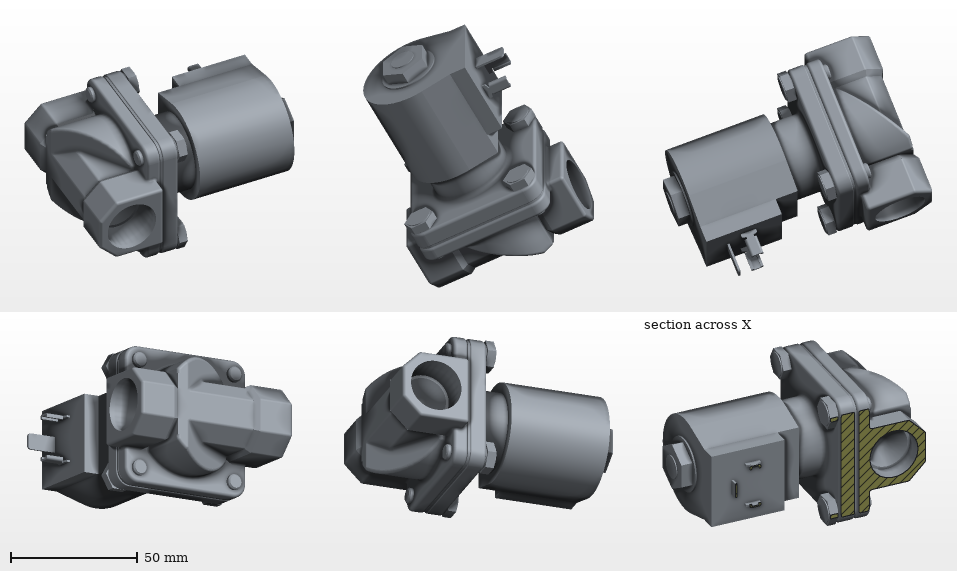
import cadquery as cq
import math


body_length = 70.1
port_half_height = 13.9
port_chamfer = 7.4
body_round = 1.3
block_inner_x = 19.9
channel_end_x = 17.5
channel_inset = 1.5
channel_half_height = port_half_height - channel_inset
bore_mouth_radius = 10.6
bore_floor_radius = 10.2
bore_depth = 13.75
drill_radius = 9.0
drill_point_angle = 118

flange_size = 56
flange_corner_radius = 6.0
flange_round = 1.3
body_flange_y = 10.0
gasket_y = 16.1
cover_y = 17.1
cover_top_y = 23.9
gasket_inset = 0.4
cover_lower_round = 0.4
bolt_spacing = 44.0
bolt_radius = 3.1
bolt_tip_y = 8.2
bolt_tip_chamfer = 0.6
bolt_head_width = 11.1
bolt_head_height = 3.5
bolt_corner_angle = 0
bolt_face_radius = 5.0
bolt_face_height = 0.4

bowl_radius = 22.7
core_round = 1.3
bowl_floor_length = 4.7
bowl_slope = 34
foot_round = 1

neck_radius = 16.1
neck_foot_round = 1.9
coil_radius = 20.4
coil_y = 37.0
coil_top_y = 78.4
coil_flat_x = -18.3
plug_face_x = -24.9
plug_half_height = 16.0
plug_y = 46.4

washer_radius = 11.5
washer_height = 0.7
nut_width = 17.4
nut_height = 4.8
nut_corner_angle = 30
stub_radius = 4.9
stub_top_y = 84.3

ground_pin_y = 69.0
ground_pin_tip_x = -37.3
ground_pin_thickness = 0.9
pin_width = 6.5
ground_pin_tip_round = 1.3
terminal_y = 60.6
terminal_z = 9.1
terminal_thickness = 0.8
terminal_tip_x = -35.1
terminal_shoulder_x = -27.6
terminal_neck_x = -26.9
terminal_base_x = -26.3
terminal_half_width = 2.6
terminal_neck_half_width = 1.5
terminal_lip_height = 1
terminal_round = 1

tolerance = 0.01


def section_at(y):
    """Workplane across the coil axis, with local x along X and local y along Z."""
    return cq.Workplane("XZ", origin=(0, y, 0))


def disc(radius, y_low, y_high):
    return section_at(y_low).circle(radius).extrude(y_low - y_high)


def hexagon(width, y_low, y_high, first_corner_angle):
    corner_radius = width / math.sqrt(3)
    angles = [math.radians(first_corner_angle + 60 * i) for i in range(6)]
    corners = [(corner_radius * math.cos(a), corner_radius * math.sin(a)) for a in angles]
    return section_at(y_low).polyline(corners).close().extrude(y_low - y_high)


def rounded(solid, is_rounded, radius):
    """Solid with a fillet on every edge that passes the test is_rounded."""
    chosen_edges = [edge for edge in solid.edges().vals() if is_rounded(edge)]
    return solid.newObject(chosen_edges).fillet(radius)


def body_profile(half_height):
    """Square across the ports with its two -Y corners cut off, in Y and Z."""
    inner = half_height - port_chamfer + (port_half_height - half_height) * (2 - math.sqrt(2))
    return [
        (port_half_height, half_height),
        (-inner, half_height),
        (-half_height, inner),
        (-half_height, -inner),
        (-inner, -half_height),
        (port_half_height, -half_height),
    ]


def body_section(half_height, x):
    return cq.Workplane("YZ", origin=(x, 0, 0)).polyline(body_profile(half_height)).close()


def port_block():
    """Port block at the -X end, tapering to the channel."""
    end_x = -body_length / 2
    block = body_section(port_half_height, end_x).extrude(body_length / 2 - block_inner_x)
    block = block.edges("|X or <X").fillet(body_round)
    taper = (
        body_section(port_half_height, -block_inner_x)
        .workplane(offset=block_inner_x - channel_end_x)
        .polyline(body_profile(channel_half_height))
        .close()
        .loft(ruled=True)
    )
    return block.union(taper)


def port_bore():
    """Blind tapered port at the -X end, closed by a drill point."""
    end_x = -body_length / 2
    floor_x = end_x + bore_depth
    point_x = floor_x + drill_radius / math.tan(math.radians(drill_point_angle / 2))
    return (
        cq.Workplane("XY")
        .polyline([
            (end_x, 0),
            (end_x, bore_mouth_radius),
            (floor_x, bore_floor_radius),
            (floor_x, drill_radius),
            (point_x, 0),
        ])
        .close()
        .revolve(360, (0, 0), (1, 0))
    )


def bowl():
    """Round bowl with a short flat floor that then slopes up towards the flange."""
    floor_y = -channel_half_height
    slope_x = -channel_end_x + bowl_floor_length
    slope_top_y = floor_y + (channel_end_x - slope_x) * math.tan(math.radians(bowl_slope))
    side = (
        cq.Workplane("XY", origin=(0, 0, -bowl_radius))
        .polyline([
            (-channel_end_x, body_flange_y),
            (-channel_end_x, floor_y),
            (slope_x, floor_y),
            (channel_end_x, slope_top_y),
            (channel_end_x, body_flange_y),
        ])
        .close()
        .extrude(2 * bowl_radius)
    )
    return disc(bowl_radius, floor_y, body_flange_y).intersect(side)


def is_wall_edge(edge):
    """True for the straight edges on the channel's walls, where they bend or meet the bowl's floor."""
    box = edge.BoundingBox()
    above_floor = box.ymax > core_round - channel_half_height
    below_flange = box.ymin < body_flange_y - core_round
    inside = abs(edge.Center().x) < channel_end_x - core_round
    return edge.geomType() == "LINE" and above_floor and below_flange and inside


def is_rim_edge(edge):
    """True for the rim of the bowl's floor and for the straight edges of the flat floor."""
    middle = edge.positionAt(0.5)
    if edge.geomType() == "LINE":
        on_floor = edge.BoundingBox().ymax < core_round - channel_half_height
        return on_floor and abs(middle.x) < channel_end_x - core_round
    on_bowl = abs(math.hypot(middle.x, middle.z) - bowl_radius) < tolerance
    return on_bowl and middle.y < body_flange_y - core_round


def is_bowl_corner(edge):
    """True for the edges along Y where the bowl's round side meets its flat ends."""
    middle = edge.positionAt(0.5)
    at_end = abs(abs(middle.x) - channel_end_x) < tolerance
    on_bowl = abs(math.hypot(middle.x, middle.z) - bowl_radius) < tolerance
    return edge.geomType() == "LINE" and at_end and on_bowl


def core():
    """Channel and bowl between the port blocks; only the bowl's ends beside the channel are rounded."""
    channel = body_section(channel_half_height, -channel_end_x).extrude(2 * channel_end_x)
    solid = rounded(channel.union(bowl()), is_wall_edge, core_round)
    solid = rounded(solid, is_rim_edge, core_round)
    middle = solid.intersect(cq.Workplane("XY").box(body_length, flange_size, 2 * channel_half_height))
    return rounded(solid, is_bowl_corner, core_round).union(middle)


def flange(size, y_low, y_high):
    plate = section_at(y_low).rect(size, size).extrude(y_low - y_high)
    return plate.edges("|Y").fillet(flange_corner_radius)


def is_port_foot(edge):
    """True for the edges where a port block meets the body flange."""
    center = edge.Center()
    beside_core = block_inner_x < abs(center.x) < flange_size / 2 + flange_round / 2
    on_block = abs(center.z) < port_half_height + flange_round / 2
    on_flange = body_flange_y - flange_round / 2 < center.y < port_half_height + flange_round / 2
    return beside_core and on_block and on_flange


def is_bowl_foot(edge):
    """True for the arcs where the bowl's round side meets the body flange."""
    center = edge.Center()
    on_flange = abs(center.y - body_flange_y) < core_round / 2
    return on_flange and abs(center.x) < core_round and edge.geomType() == "CIRCLE"


def valve_body():
    plate = flange(flange_size, body_flange_y, gasket_y)
    plate = plate.faces("<Y or >Y").edges().fillet(flange_round)
    left_port = port_block()
    body = plate.union(left_port).union(left_port.mirror("YZ"))
    body = rounded(body, is_port_foot, foot_round)
    body = body.union(core())
    body = rounded(body, is_bowl_foot, foot_round)
    left_bore = port_bore()
    return body.cut(left_bore).cut(left_bore.mirror("YZ"))


def cover():
    """Gasket and cover flange with the neck under the coil."""
    gasket = flange(flange_size - 2 * gasket_inset, gasket_y, cover_y)
    plate = flange(flange_size, cover_y, cover_top_y)
    plate = plate.faces(">Y").edges().fillet(flange_round)
    plate = plate.faces("<Y").edges().fillet(cover_lower_round)
    plate = plate.union(disc(neck_radius, cover_top_y, coil_y))
    foot = cq.selectors.BoxSelector(
        (-neck_radius, cover_top_y - cover_lower_round, -neck_radius),
        (neck_radius, cover_top_y + cover_lower_round, neck_radius),
    )
    return gasket.union(plate.edges("%CIRCLE").edges(foot).fillet(neck_foot_round))


def bolt():
    """Bolt on the Y axis: hex head with a round face above and below, and a chamfered tip."""
    hex_low = cover_top_y + bolt_face_height
    hex_high = hex_low + bolt_head_height
    shank = disc(bolt_radius, bolt_tip_y, cover_top_y).faces("<Y").chamfer(bolt_tip_chamfer)
    faces = disc(bolt_face_radius, cover_top_y, hex_high + bolt_face_height)
    return shank.union(faces).union(hexagon(bolt_head_width, hex_low, hex_high, bolt_corner_angle))


def coil():
    """Round coil whose -X side runs along tangent flats to a rectangular plug socket."""
    reach = math.hypot(coil_flat_x, plug_half_height)
    tangent_angle = math.atan2(plug_half_height, coil_flat_x) - math.acos(coil_radius / reach)
    tangent_x = coil_radius * math.cos(tangent_angle)
    tangent_z = coil_radius * math.sin(tangent_angle)
    drum = (
        section_at(coil_y)
        .moveTo(coil_flat_x, -plug_half_height)
        .lineTo(tangent_x, -tangent_z)
        .threePointArc((coil_radius, 0), (tangent_x, tangent_z))
        .lineTo(coil_flat_x, plug_half_height)
        .close()
        .extrude(coil_y - coil_top_y)
    )
    socket = (
        section_at(plug_y)
        .rect(coil_flat_x - plug_face_x, 2 * plug_half_height)
        .extrude(plug_y - coil_top_y)
        .translate(((coil_flat_x + plug_face_x) / 2, 0, 0))
    )
    return drum.union(socket)


def top_nut():
    washer_top_y = coil_top_y + washer_height
    nut = hexagon(nut_width, washer_top_y, washer_top_y + nut_height, nut_corner_angle)
    stub = disc(stub_radius, washer_top_y, stub_top_y)
    return disc(washer_radius, coil_top_y, washer_top_y).union(nut).union(stub)


def ground_pin():
    """Flat pin across the coil axis with rounded tip corners."""
    pin = cq.Workplane("XY").box(plug_face_x - ground_pin_tip_x, ground_pin_thickness, pin_width)
    pin = pin.edges("|Y and <X").fillet(ground_pin_tip_round)
    return pin.translate(((plug_face_x + ground_pin_tip_x) / 2, ground_pin_y, 0))


def terminal():
    """Flat terminal on the +Z side with a lip along each edge turned towards the coil axis."""
    half_outline = [
        (terminal_tip_x, terminal_half_width),
        (terminal_shoulder_x, terminal_half_width),
        (terminal_shoulder_x, terminal_neck_half_width),
        (terminal_neck_x, terminal_neck_half_width),
        (terminal_base_x, pin_width / 2),
        (plug_face_x, pin_width / 2),
    ]
    other_half = [(x, -width) for x, width in reversed(half_outline)]
    plate = (
        cq.Workplane("XY", origin=(0, terminal_y, terminal_z - terminal_thickness / 2))
        .polyline(half_outline + other_half)
        .close()
        .extrude(terminal_thickness)
    )
    lip_length = terminal_shoulder_x - terminal_tip_x
    lip_width = terminal_half_width - terminal_neck_half_width
    lip_height = terminal_lip_height + terminal_thickness / 2
    for side in (-1, 1):
        lip = cq.Workplane("XY").box(lip_length, lip_width, lip_height).translate((
            (terminal_tip_x + terminal_shoulder_x) / 2,
            terminal_y + side * (terminal_half_width + terminal_neck_half_width) / 2,
            terminal_z - lip_height / 2,
        ))
        plate = plate.union(lip)
    outer_edges = cq.selectors.BoxSelector(
        (terminal_tip_x, terminal_y - pin_width, terminal_z),
        (terminal_shoulder_x, terminal_y + pin_width, terminal_z + terminal_thickness),
    )
    return plate.edges("|X").edges(outer_edges).fillet(terminal_round)


result = valve_body().union(cover())
for x in (-bolt_spacing / 2, bolt_spacing / 2):
    for z in (-bolt_spacing / 2, bolt_spacing / 2):
        result = result.union(bolt().translate((x, 0, z)))
result = result.union(coil()).union(top_nut()).union(ground_pin())
result = result.union(terminal()).union(terminal().mirror("XY"))